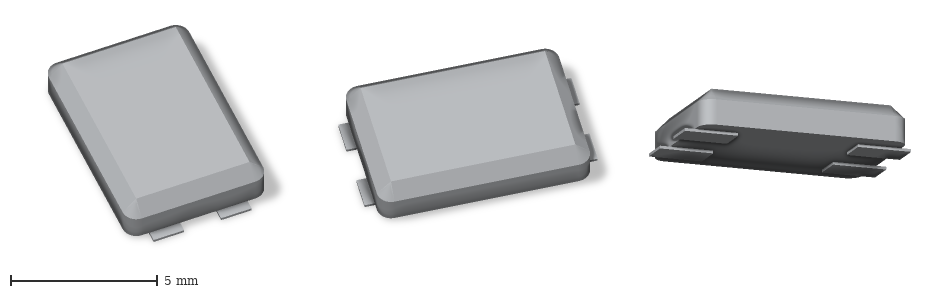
import cadquery as cq

overall_length = 8.22
body_length = 7.505
body_width = 5.2
overall_height = 1.5

corner_radius = 0.5

lead_thickness = 0.1
lead_length = 1.93
lead_width = 1.135
lead_pitch = 2.5

body_height = overall_height - lead_thickness
wall_height = body_height - corner_radius
bevel_base = lead_thickness + wall_height
flat_length = body_length - 2 * corner_radius
flat_width = body_width - 2 * corner_radius


def bevel_prism(plane, base, top, length):
    """Trapezoidal prism that narrows upward, centred along the plane normal."""
    return (
        cq.Workplane(plane)
        .moveTo(-base / 2, bevel_base)
        .lineTo(base / 2, bevel_base)
        .lineTo(top / 2, overall_height)
        .lineTo(-top / 2, overall_height)
        .close()
        .extrude(length / 2, both=True)
    )


def make_housing():
    """Block with rounded upright corners and a 45 degree bevel around the top."""
    walls = (
        cq.Workplane("XY", origin=(0, 0, lead_thickness))
        .rect(body_length, body_width)
        .extrude(wall_height)
        .edges("|Z")
        .fillet(corner_radius)
    )
    bevel = bevel_prism("XZ", body_length, flat_length, flat_width).union(
        bevel_prism("YZ", body_width, flat_width, flat_length)
    )
    for side_x in (-1, 1):
        for side_y in (-1, 1):
            corner = cq.Vector(side_x * flat_length / 2, side_y * flat_width / 2, bevel_base)
            bevel = bevel.union(cq.Workplane(cq.Solid.makeCone(corner_radius, 0, corner_radius, corner)))
    return walls.union(bevel).clean().solids()


def make_lead(side_x, side_y):
    """Flat lead under the housing, reaching out past one end."""
    center_x = side_x * (overall_length - lead_length) / 2
    center_y = side_y * lead_pitch / 2
    return (
        cq.Workplane("XY")
        .center(center_x, center_y)
        .rect(lead_length, lead_width)
        .extrude(lead_thickness)
    )


housing = make_housing()
leads = [make_lead(side_x, side_y) for side_x in (-1, 1) for side_y in (-1, 1)]

result = cq.Compound.makeCompound([housing.val(), *[lead.val() for lead in leads]])